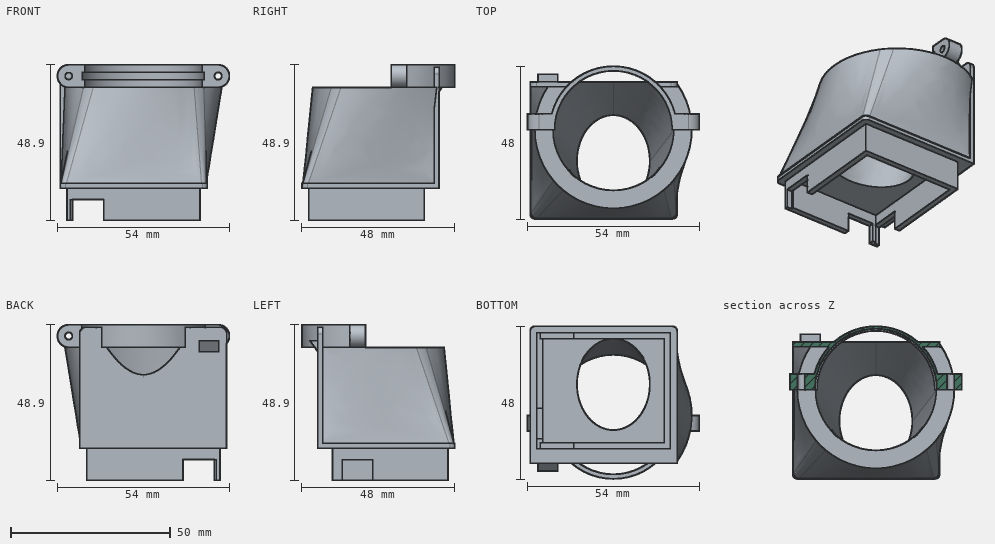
import cadquery as cq
import math


total_height = 48.9
ring_height = 7.15
skirt_height = 10.1
plate_thickness = 1.55
back_plate_top = 48.05
duct_top = total_height - ring_height
base_top = skirt_height + plate_thickness

base_left = -26.15
base_right = 20.05
base_front = -28.0
base_back = 15.05
base_corner_radius = 1.6
back_plate_corner_radius = 2.0

duct_radius = 24.65
bore_radius = 18.95
duct_inset = 0.25
duct_side_half_angle = 40.0
outlet_half_width = 11.4
outlet_half_depth = 14.3
outlet_center_y = -9.7

ring_outer_radius = 20.0
ring_inner_radius = 18.45
groove_radius = 19.1
groove_height = 2.4
lug_depth = 4.95
lug_end_x = 27.0
lug_radius = ring_height / 2
lug_hole_diameter = 2.2
lug_center_x = lug_end_x - lug_radius
lug_center_z = duct_top + lug_radius

skirt_left = -24.05
skirt_right = 17.75
skirt_front = -25.85
skirt_back = 10.4
skirt_wall = 1.85
notch_height = 6.55
cross_notch_left = -22.9
cross_notch_right = -12.5
side_notch_front = -2.2
side_notch_back = 7.4

hook_left = -23.65
hook_right = -17.45
hook_reach = 2.45
hook_top = 43.9
hook_bottom = 40.45


def block(x0, x1, y0, y1, z0, z1):
    """Box between two opposite corners."""
    return cq.Workplane("XY").box(x1 - x0, y1 - y0, z1 - z0, centered=False).translate((x0, y0, z0))


def cylinder(radius, z0, z1):
    """Cylinder on the ring axis."""
    return cq.Workplane("XY").workplane(offset=z0).circle(radius).extrude(z1 - z0)


def four_arc_wire(arcs, z):
    """Closed wire of four (center x, center y, radius, start, end) arcs, joined by lines or arcs.

    On a full circle the joining pieces are arcs of the same circle.
    """
    def point(center_x, center_y, radius, angle):
        turn = math.radians(angle)
        return cq.Vector(center_x + radius * math.cos(turn), center_y + radius * math.sin(turn), z)

    edges = []
    for index, arc in enumerate(arcs):
        center_x, center_y, radius, start, end = arc
        following = arcs[(index + 1) % len(arcs)]
        start_point = point(center_x, center_y, radius, start)
        middle_point = point(center_x, center_y, radius, (start + end) / 2)
        end_point = point(center_x, center_y, radius, end)
        next_point = point(*following[:4])
        edges.append(cq.Edge.makeThreePointArc(start_point, middle_point, end_point))
        if following[:3] == arc[:3]:
            bulge_point = point(center_x, center_y, radius, end + duct_side_half_angle)
            edges.append(cq.Edge.makeThreePointArc(end_point, bulge_point, next_point))
        else:
            edges.append(cq.Edge.makeLine(end_point, next_point))
    return cq.Wire.assembleEdges(edges)


def make_duct():
    """Rounded rectangle blending into a circle, cut flat at the back plate."""
    left = base_left + duct_inset + base_corner_radius
    right = base_right - duct_inset - base_corner_radius
    front = base_front + duct_inset + base_corner_radius
    back = base_back - base_corner_radius
    corners = [(right, back), (left, back), (left, front), (right, front)]
    bottom_arcs = []
    top_arcs = []
    for index, (x, y) in enumerate(corners):
        start = 90 * index
        bottom_arcs.append((x, y, base_corner_radius, start, start + 90))
        top_arcs.append(
            (0, 0, duct_radius, start + duct_side_half_angle, start + 90 - duct_side_half_angle)
        )
    bottom = four_arc_wire(bottom_arcs, base_top)
    top = four_arc_wire(top_arcs, duct_top)
    duct = cq.Workplane(cq.Solid.makeLoft([bottom, top], True))
    behind_plate = block(
        -duct_radius, duct_radius, base_back, base_back + duct_radius, skirt_height, duct_top
    )
    return duct.cut(behind_plate)


def make_plates():
    base = block(base_left, base_right, base_front, base_back, skirt_height, base_top)
    base = base.edges("|Z and <Y").fillet(base_corner_radius)
    back = block(
        base_left, base_right, base_back - plate_thickness, base_back, skirt_height, back_plate_top
    )
    back = back.edges("|Y and >Z").fillet(back_plate_corner_radius)
    return base.union(back)


def make_bore():
    """Passage tapering from the round inlet to the oval outlet in the base plate."""
    return (
        cq.Workplane("XY").workplane(offset=skirt_height)
        .center(0, outlet_center_y).ellipse(outlet_half_width, outlet_half_depth)
        .workplane(offset=duct_top - skirt_height)
        .center(0, -outlet_center_y).circle(bore_radius)
        .loft(ruled=True)
    )


def make_ring():
    """Half ring behind Y = 0 with a round-ended lug on each side."""
    ring = cylinder(ring_outer_radius, duct_top, total_height)
    ring = ring.intersect(
        block(-lug_end_x, lug_end_x, 0, ring_outer_radius, duct_top, total_height)
    )
    lugs = block(-lug_center_x, lug_center_x, 0, lug_depth, duct_top, total_height)
    for side in (-1, 1):
        lug_end = (
            cq.Workplane("XZ").center(side * lug_center_x, lug_center_z)
            .circle(lug_radius).extrude(-lug_depth)
        )
        lugs = lugs.union(lug_end)
    return ring.union(lugs)


def make_lug_holes():
    return (
        cq.Workplane("XZ")
        .pushPoints([(-lug_center_x, lug_center_z), (lug_center_x, lug_center_z)])
        .circle(lug_hole_diameter / 2).extrude(-lug_depth)
    )


def make_skirt():
    skirt = block(skirt_left, skirt_right, skirt_front, skirt_back, 0, skirt_height)
    inside = block(
        skirt_left + skirt_wall, skirt_right - skirt_wall,
        skirt_front + skirt_wall, skirt_back - skirt_wall, 0, skirt_height,
    )
    skirt = skirt.cut(inside)
    for wall_start in (skirt_front, skirt_back - skirt_wall):
        skirt = skirt.cut(block(
            cross_notch_left, cross_notch_right, wall_start, wall_start + skirt_wall, 0, notch_height
        ))
    return skirt.cut(block(
        skirt_left, skirt_left + skirt_wall, side_notch_front, side_notch_back, 0, notch_height
    ))


def make_hook():
    return (
        cq.Workplane("YZ").workplane(offset=hook_left)
        .polyline([(base_back, hook_bottom), (base_back + hook_reach, hook_top), (base_back, hook_top)])
        .close().extrude(hook_right - hook_left)
    )


groove_middle = (duct_top + total_height) / 2
groove = cylinder(groove_radius, groove_middle - groove_height / 2, groove_middle + groove_height / 2)

result = make_duct().union(make_plates()).union(make_ring()).union(make_skirt()).union(make_hook())
result = result.cut(make_bore())
result = result.cut(cylinder(ring_inner_radius, duct_top, total_height))
result = result.cut(groove)
result = result.cut(make_lug_holes())